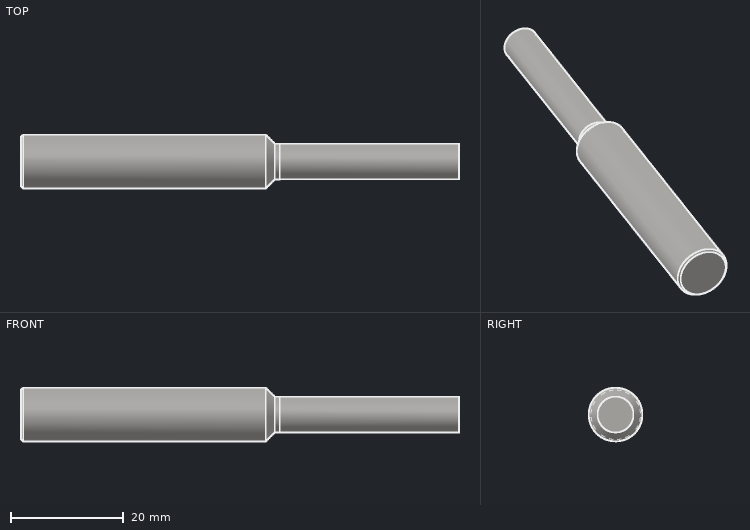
import cadquery as cq

total_length = 77.8
handle_diameter = 9.6
pin_diameter = 6.4

shoulder_start = 43.5
handle_length = 46.0
end_chamfer = 0.4

handle_radius = handle_diameter / 2
pin_radius = pin_diameter / 2
shoulder_end = shoulder_start + handle_radius - pin_radius
pin_length = total_length - handle_length


def make_handle():
    """Barrel with a chamfered end, a conical shoulder and a short collar."""
    half_profile = (
        cq.Workplane("XY")
        .moveTo(0, 0)
        .lineTo(0, -handle_radius + end_chamfer)
        .lineTo(end_chamfer, -handle_radius)
        .lineTo(shoulder_start, -handle_radius)
        .lineTo(shoulder_end, -pin_radius)
        .lineTo(handle_length, -pin_radius)
        .lineTo(handle_length, 0)
        .close()
    )
    return half_profile.revolve(360, (0, 0, 0), (1, 0, 0))


def make_pin():
    """Plain round pin that butts against the collar of the handle."""
    return (
        cq.Workplane("YZ", origin=(handle_length, 0, 0))
        .circle(pin_radius)
        .extrude(pin_length)
    )


handle = make_handle()
pin = make_pin()

result = cq.Compound.makeCompound([handle.val(), pin.val()])